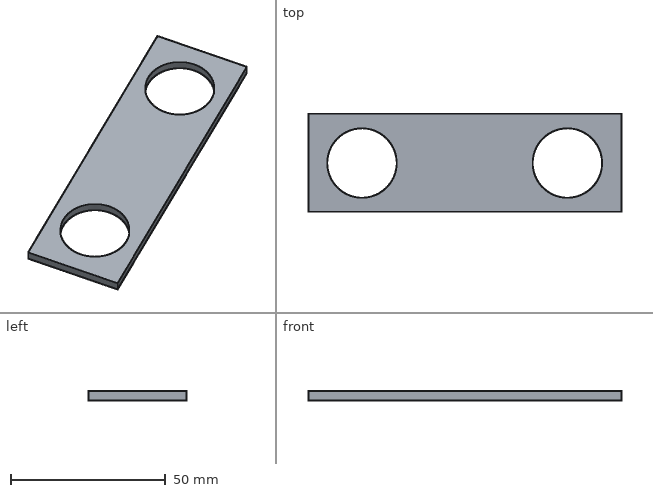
import cadquery as cq

length = 101.1
width = 31.7
thickness = 3.1

hole_diameter = 22.3
hole_spacing = 66.3
left_hole_margin = 17.3
front_hole_margin = 15.8

left_hole_x = -length / 2 + left_hole_margin
hole_y = -width / 2 + front_hole_margin
hole_centres = [(left_hole_x, hole_y), (left_hole_x + hole_spacing, hole_y)]

plate = cq.Workplane("XY").box(length, width, thickness)
result = plate.faces(">Z").workplane().pushPoints(hole_centres).hole(hole_diameter)